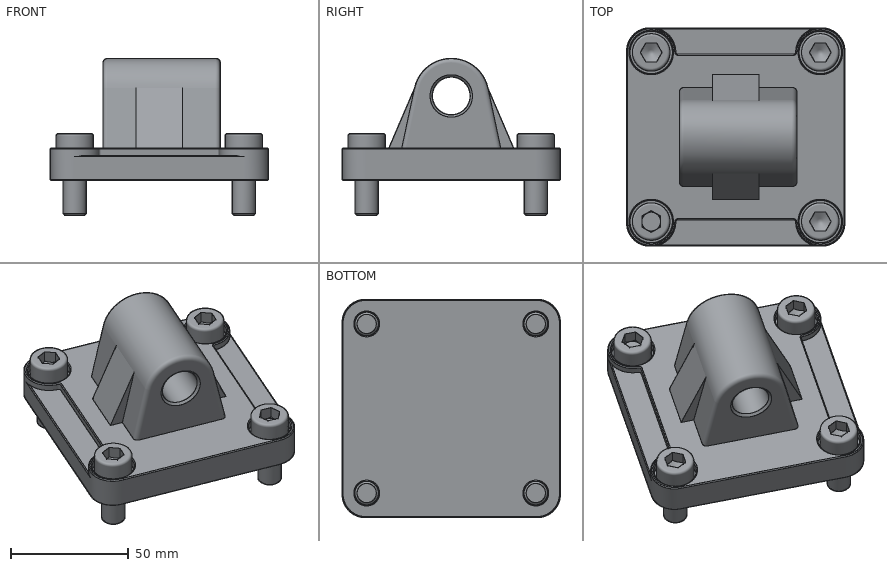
import cadquery as cq
import math


PLATE_SIDE = 93.0
PLATE_THICKNESS = 13.8
PLATE_CORNER_RADIUS = 10.0
PLATE_EDGE_CHAMFER = 0.5

LEDGE_HEIGHT = 10.6
LEDGE_WALL_Y = 35.25
LEDGE_FILLET = 0.9

SCREW_SPACING = 72.0
SEAT_DIAMETER = 18.0
SEAT_HEIGHT = 10.0
CLEARANCE_DIAMETER = 11.0
RIM_TAPER = 45.0

LUG_LENGTH = 50.0
LUG_CENTRE_X = 1.0
LUG_AXIS_HEIGHT = 36.0
LUG_CROWN_RADIUS = 16.0
LUG_SIDE_ANGLE = 12.0
LUG_END_FILLET = 1.95
PIVOT_DIAMETER = 16.0
PIVOT_MOUTH_DIAMETER = 18.0

RIB_WIDTH = 20.0
RIB_BASE_Y = 26.6

HEAD_DIAMETER = 16.0
HEAD_HEIGHT = 9.95
HEAD_EDGE_FILLET = 1.1
SHANK_DIAMETER = 10.0
SHANK_LENGTH = 25.0
SHANK_TIP_CHAMFER = 0.9
SOCKET_FLATS = 8.0
SOCKET_DEPTH = 5.0
SOCKET_POINT_ANGLE = 120.0
TURNED_SOCKET_ANGLE = 30.0

SCREW_OFFSET = SCREW_SPACING / 2
SCREW_POINTS = [(x, y) for x in (-SCREW_OFFSET, SCREW_OFFSET) for y in (-SCREW_OFFSET, SCREW_OFFSET)]
BOSS_RADIUS = PLATE_SIDE / 2 - SCREW_OFFSET
SOCKET_CORNERS = SOCKET_FLATS / math.cos(math.pi / 6)
FLAT_FLOOR_RADIUS = SOCKET_FLATS / 2

side_angle = math.radians(LUG_SIDE_ANGLE)
TANGENT_Y = LUG_CROWN_RADIUS * math.cos(side_angle)
TANGENT_Z = LUG_AXIS_HEIGHT + LUG_CROWN_RADIUS * math.sin(side_angle)
LUG_BASE_Y = TANGENT_Y + (TANGENT_Z - PLATE_THICKNESS) * math.tan(side_angle)


def make_slab(height):
    """Square slab with rounded corners."""
    return (
        cq.Workplane("XY")
        .rect(PLATE_SIDE, PLATE_SIDE)
        .extrude(height)
        .edges("|Z")
        .fillet(PLATE_CORNER_RADIUS)
    )


def make_raised_deck():
    """Full-height part of the plate: a central band that runs into a round boss at each screw."""
    ledge_depth = PLATE_SIDE / 2 - LEDGE_WALL_Y
    ledge_centre_y = PLATE_SIDE / 2 - ledge_depth / 2
    bosses = cq.Workplane("XY").pushPoints(SCREW_POINTS).circle(BOSS_RADIUS).extrude(PLATE_THICKNESS)
    ledges = (
        cq.Workplane("XY")
        .pushPoints([(0, -ledge_centre_y), (0, ledge_centre_y)])
        .rect(SCREW_SPACING, ledge_depth)
        .extrude(PLATE_THICKNESS)
        .cut(bosses)
    )
    between_screws = cq.selectors.BoxSelector(
        (-SCREW_OFFSET, -SCREW_OFFSET, 0),
        (SCREW_OFFSET, SCREW_OFFSET, PLATE_THICKNESS),
    )
    return (
        make_slab(PLATE_THICKNESS)
        .cut(ledges)
        .edges("|Z")
        .edges(between_screws)
        .fillet(LEDGE_FILLET)
        .faces("<Z or >Z")
        .chamfer(PLATE_EDGE_CHAMFER)
    )


def make_plate():
    """Slab at ledge height joined with the raised deck."""
    ledge_slab = make_slab(LEDGE_HEIGHT).faces("<Z or >Z").chamfer(PLATE_EDGE_CHAMFER)
    return ledge_slab.union(make_raised_deck())


def make_lug():
    """Round-topped block with tapering sides, rounded along both end outlines."""
    return (
        cq.Workplane("YZ", origin=(LUG_CENTRE_X - LUG_LENGTH / 2, 0, 0))
        .moveTo(-LUG_BASE_Y, PLATE_THICKNESS)
        .lineTo(-TANGENT_Y, TANGENT_Z)
        .threePointArc((0, LUG_AXIS_HEIGHT + LUG_CROWN_RADIUS), (TANGENT_Y, TANGENT_Z))
        .lineTo(LUG_BASE_Y, PLATE_THICKNESS)
        .close()
        .extrude(LUG_LENGTH)
        .faces("<X or >X")
        .edges("not <Z")
        .fillet(LUG_END_FILLET)
    )


def make_ribs():
    """Wedges on both sides of the lug, made as one trapezoid running through it."""
    return (
        cq.Workplane("YZ")
        .polyline([
            (-RIB_BASE_Y, PLATE_THICKNESS),
            (-TANGENT_Y, TANGENT_Z),
            (TANGENT_Y, TANGENT_Z),
            (RIB_BASE_Y, PLATE_THICKNESS),
        ])
        .close()
        .extrude(RIB_WIDTH / 2, both=True)
    )


def make_pivot_hole():
    """Bore along X with a 45 degree chamfer at each mouth."""
    bore_radius = PIVOT_DIAMETER / 2
    mouth_radius = PIVOT_MOUTH_DIAMETER / 2
    chamfer = mouth_radius - bore_radius
    half = LUG_LENGTH / 2
    return (
        cq.Workplane("XY")
        .polyline([
            (-half, 0),
            (-half, mouth_radius),
            (chamfer - half, bore_radius),
            (half - chamfer, bore_radius),
            (half, mouth_radius),
            (half, 0),
        ])
        .close()
        .revolve(360, (0, 0), (1, 0))
        .translate((LUG_CENTRE_X, 0, LUG_AXIS_HEIGHT))
    )


def make_screw_seats():
    """Clearance holes through the plate, counterbored for the screw heads, with chamfered rims."""
    holes = (
        cq.Workplane("XY")
        .pushPoints(SCREW_POINTS)
        .circle(CLEARANCE_DIAMETER / 2)
        .extrude(PLATE_THICKNESS)
    )
    seats = (
        cq.Workplane("XY", origin=(0, 0, SEAT_HEIGHT))
        .pushPoints(SCREW_POINTS)
        .circle(SEAT_DIAMETER / 2)
        .extrude(PLATE_THICKNESS - SEAT_HEIGHT)
    )
    rims = (
        cq.Workplane("XY", origin=(0, 0, PLATE_THICKNESS))
        .pushPoints(SCREW_POINTS)
        .circle(SEAT_DIAMETER / 2 + PLATE_EDGE_CHAMFER)
        .extrude(-PLATE_EDGE_CHAMFER, taper=RIM_TAPER)
    )
    return holes.union(seats).union(rims)


def make_bracket():
    """Plate, lug and ribs as one solid, with the pivot hole and screw seats cut out."""
    bracket = make_plate().union(make_lug()).union(make_ribs())
    return bracket.cut(make_pivot_hole()).cut(make_screw_seats())


def make_socket(turn, floor_radius):
    """Hexagonal socket sunk from z = 0, ending in a cone that is cut flat at floor_radius."""
    rim_radius = SOCKET_CORNERS / 2
    floor_depth = SOCKET_DEPTH + (rim_radius - floor_radius) / math.tan(math.radians(SOCKET_POINT_ANGLE / 2))
    profile = [(0, 0), (rim_radius, 0), (rim_radius, -SOCKET_DEPTH), (floor_radius, -floor_depth)]
    if floor_radius > 0:
        profile.append((0, -floor_depth))
    drilled_hole = cq.Workplane("XZ").polyline(profile).close().revolve(360, (0, 0), (0, 1))
    hexagon = cq.Workplane("XY").polygon(6, SOCKET_CORNERS).extrude(-floor_depth)
    return hexagon.intersect(drilled_hole).rotate((0, 0, 0), (0, 0, 1), turn)


def make_screw(x, y, socket_turn, socket_floor_radius):
    """Socket head screw standing on its seat in the plate."""
    head = (
        cq.Workplane("XY")
        .circle(HEAD_DIAMETER / 2)
        .extrude(HEAD_HEIGHT)
        .faces(">Z")
        .edges()
        .fillet(HEAD_EDGE_FILLET)
    )
    shank = (
        cq.Workplane("XY")
        .circle(SHANK_DIAMETER / 2)
        .extrude(-SHANK_LENGTH)
        .faces("<Z")
        .chamfer(SHANK_TIP_CHAMFER)
    )
    socket = make_socket(socket_turn, socket_floor_radius).translate((0, 0, HEAD_HEIGHT))
    return head.union(shank).cut(socket).translate((x, y, SEAT_HEIGHT))


bracket = make_bracket()

screws = []
for x, y in SCREW_POINTS:
    if x < 0 and y < 0:
        screws.append(make_screw(x, y, TURNED_SOCKET_ANGLE, FLAT_FLOOR_RADIUS))
    else:
        screws.append(make_screw(x, y, 0, 0))

result = cq.Compound.makeCompound([bracket.val(), *[screw.val() for screw in screws]])